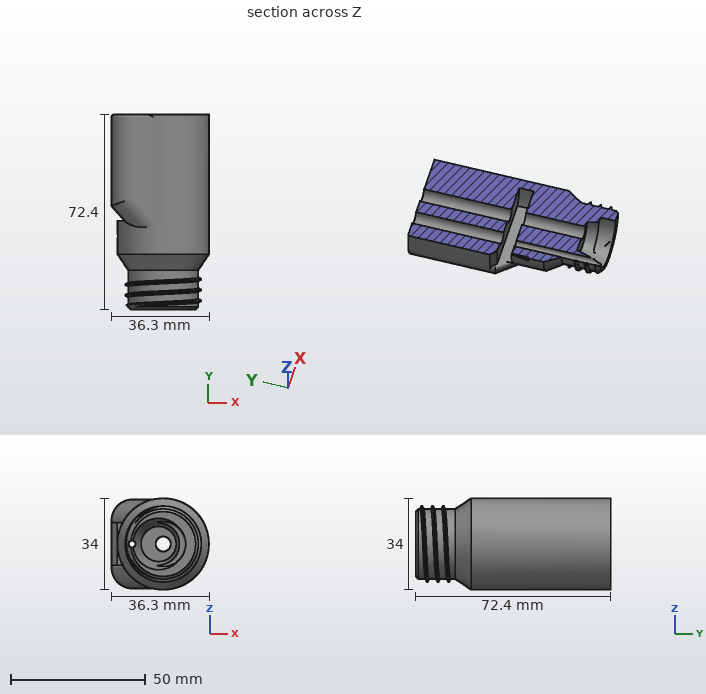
import cadquery as cq
import math

BACK_Y = 36.2
FRONT_Y = -36.2
BODY_RADIUS = 17.0
NECK_RADIUS = 13.0
NECK_LENGTH = 14.6
SHOULDER_LENGTH = 5.95
NECK_CHAMFER = 1.0
NECK_BACK_Y = FRONT_Y + NECK_LENGTH
SHOULDER_BACK_Y = NECK_BACK_Y + SHOULDER_LENGTH

LUG_X = -19.25
LUG_HALF_HEIGHT = 16.6
LUG_CORNER_RADIUS = 8.0
LUG_END_FILLET = 1.0
LUG_FRONT_Y = 2.25
LUG_SLOPE = math.radians(48.7)

SLOT_BACK_Y = LUG_FRONT_Y
SLOT_FRONT_Y = -3.2
SLOT_HALF_HEIGHT = 7.8
SLOT_END_RADIUS = 13.0
SLOT_LEAD_IN = 2.25
SLOT_EDGE_FILLET = 1.0

THREAD_PITCH = 4.0
THREAD_TURNS = 3.25
THREAD_CREST_RADIUS = 14.1
THREAD_BASE_WIDTH = 1.4
THREAD_CREST_WIDTH = 0.3
THREAD_START_Y = -23.45
THREAD_START_ANGLE = 225
THREAD_ROOT_OVERLAP = 0.2

SOCKET_X = -1.75
SOCKET_MOUTH_RADIUS = 9.55
SOCKET_FLOOR_RADIUS = 6.5
SOCKET_DEPTH = 10.0
SEAT_RADIUS = 8.3
SEAT_DEPTH = 5.8
SEAT_FLOOR_FILLET = 0.9
SEAT_LIP_RADIUS = 5.4
SEAT_LIP_FILLET = 1.0

CENTRE_HOLE_RADIUS = 2.75
SIDE_HOLE_RADIUS = 1.2
SIDE_HOLE_X = -11.6
BACK_HOLE_RADIUS = 2.5
BACK_HOLE_X = -10.65

ARROW_TIP_Y = -3.8
ARROW_BASE_Y = -9.8
ARROW_HALF_WIDTH = 1.45
ARROW_DEPTH = 0.5

MARGIN = 0.7


def turned(profile):
    """Solid of revolution about the Y axis from (radius, y) points."""
    return cq.Workplane("XY").polyline(profile).close().revolve(360, (0, 0), (0, 1))


def turned_body():
    """Cylinder, conical shoulder and neck."""
    return turned([
        (0, BACK_Y),
        (BODY_RADIUS, BACK_Y),
        (BODY_RADIUS, SHOULDER_BACK_Y),
        (NECK_RADIUS, NECK_BACK_Y),
        (NECK_RADIUS, FRONT_Y),
        (0, FRONT_Y),
    ])


def lug_block():
    """Sharp-edged lug: a slab whose front face slopes back into the body."""
    slope_end_y = LUG_FRONT_Y + LUG_X * math.tan(LUG_SLOPE)
    outline = [(0, BACK_Y), (LUG_X, BACK_Y), (LUG_X, LUG_FRONT_Y), (0, slope_end_y)]
    return cq.Workplane("XY").polyline(outline).close().extrude(LUG_HALF_HEIGHT, both=True)


def rounded_lug():
    """Lug with large rounds along its outer and sloping edges and a small round at the back."""
    top = LUG_HALF_HEIGHT + MARGIN
    long_edges = cq.selectors.BoxSelector(
        (LUG_X - MARGIN, LUG_FRONT_Y, -top), (-MARGIN, BACK_Y - MARGIN, top)
    )
    slope_edges = cq.selectors.BoxSelector(
        (LUG_X + MARGIN, FRONT_Y, -top), (-MARGIN, LUG_FRONT_Y, top)
    )
    rounded = lug_block().edges("#Z").edges(long_edges + slope_edges).fillet(LUG_CORNER_RADIUS)
    return rounded.faces(">Y").edges("not(>X)").fillet(LUG_END_FILLET)


def lug():
    """Rounded lug opened by a channel whose upper and lower rims are rounded."""
    lead_in_y = SLOT_BACK_Y + SLOT_LEAD_IN
    outline = [
        (LUG_X, lead_in_y),
        (LUG_X + SLOT_LEAD_IN, SLOT_BACK_Y),
        (0, SLOT_BACK_Y),
        (0, FRONT_Y),
        (LUG_X, FRONT_Y),
    ]
    channel = cq.Workplane("XY").polyline(outline).close().extrude(SLOT_HALF_HEIGHT, both=True)
    block = lug_block().cut(channel)
    side_face = cq.selectors.DirectionMinMaxSelector(cq.Vector(1, 0, 0), False)
    sloped_faces = cq.selectors.ParallelDirSelector(
        cq.Vector(math.sin(LUG_SLOPE), math.cos(LUG_SLOPE), 0)
    )
    rim_height = SLOT_HALF_HEIGHT + MARGIN
    rims = cq.selectors.BoxSelector(
        (LUG_X - MARGIN, FRONT_Y, -rim_height), (0, lead_in_y, rim_height)
    )
    outer_edges = block.faces(side_face + sloped_faces).edges("#Z")
    return outer_edges.edges(rims).fillet(SLOT_EDGE_FILLET).intersect(rounded_lug())


def slot():
    """Slot with a slanted lead-in at its back edge and an inner end rounded about the Y axis."""
    outer_x = LUG_X - SLOT_LEAD_IN
    outer_y = SLOT_BACK_Y + 2 * SLOT_LEAD_IN
    outline = [
        (outer_x, SLOT_FRONT_Y),
        (outer_x, outer_y),
        (LUG_X + SLOT_LEAD_IN, SLOT_BACK_Y),
        (SLOT_END_RADIUS, SLOT_BACK_Y),
        (SLOT_END_RADIUS, SLOT_FRONT_Y),
    ]
    straight = cq.Workplane("XY").polyline(outline).close().extrude(SLOT_HALF_HEIGHT, both=True)
    end_x = math.sqrt(SLOT_END_RADIUS**2 - SLOT_HALF_HEIGHT**2)
    round_ended = (
        cq.Workplane("XZ", origin=(0, SLOT_FRONT_Y, 0))
        .moveTo(outer_x, -SLOT_HALF_HEIGHT)
        .lineTo(end_x, -SLOT_HALF_HEIGHT)
        .threePointArc((SLOT_END_RADIUS, 0), (end_x, SLOT_HALF_HEIGHT))
        .lineTo(outer_x, SLOT_HALF_HEIGHT)
        .close()
        .extrude(SLOT_FRONT_Y - outer_y)
    )
    return straight.intersect(round_ended)


def thread():
    """Tapered helical ridge wound around the neck, sunk slightly into it."""
    root = NECK_RADIUS - THREAD_ROOT_OVERLAP
    thread_height = THREAD_CREST_RADIUS - NECK_RADIUS
    flank_slope = (THREAD_BASE_WIDTH - THREAD_CREST_WIDTH) / 2 / thread_height
    half_crest = THREAD_CREST_WIDTH / 2
    half_root = THREAD_BASE_WIDTH / 2 + THREAD_ROOT_OVERLAP * flank_slope
    section = [
        (root, -half_root),
        (THREAD_CREST_RADIUS, -half_crest),
        (THREAD_CREST_RADIUS, half_crest),
        (root, half_root),
    ]
    helix = cq.Wire.makeHelix(THREAD_PITCH, THREAD_PITCH * THREAD_TURNS, root)
    ridge = cq.Workplane("XZ").polyline(section).close().sweep(cq.Workplane(helix), isFrenet=True)
    return (
        ridge.rotate((0, 0, 0), (0, 0, 1), THREAD_START_ANGLE)
        .rotate((0, 0, 0), (1, 0, 0), 90)
        .translate((0, THREAD_START_Y, 0))
    )


def mouth_trim():
    """Ring outside the mouth chamfer, which also trims the end of the thread."""
    mouth_radius = NECK_RADIUS - NECK_CHAMFER
    outer = THREAD_CREST_RADIUS + MARGIN
    front = FRONT_Y - THREAD_PITCH
    return turned([
        (mouth_radius, FRONT_Y),
        (outer, FRONT_Y + outer - mouth_radius),
        (outer, front),
        (0, front),
        (0, FRONT_Y),
    ])


def socket():
    """Tapered socket that opens at the mouth."""
    floor_y = FRONT_Y + SOCKET_DEPTH
    cone = turned([
        (0, FRONT_Y),
        (SOCKET_MOUTH_RADIUS, FRONT_Y),
        (SOCKET_FLOOR_RADIUS, floor_y),
        (0, floor_y),
    ])
    return cone.translate((SOCKET_X, 0, 0))


def seat():
    """Round seat with a rounded floor corner and a rounded lip into the socket below it."""
    floor_y = FRONT_Y + SEAT_DEPTH
    lip_y = floor_y + SEAT_LIP_FILLET
    return (
        cq.Workplane("XY")
        .moveTo(0, FRONT_Y)
        .lineTo(SEAT_RADIUS, FRONT_Y)
        .lineTo(SEAT_RADIUS, floor_y - SEAT_FLOOR_FILLET)
        .radiusArc((SEAT_RADIUS - SEAT_FLOOR_FILLET, floor_y), -SEAT_FLOOR_FILLET)
        .lineTo(SEAT_LIP_RADIUS + SEAT_LIP_FILLET, floor_y)
        .radiusArc((SEAT_LIP_RADIUS, lip_y), SEAT_LIP_FILLET)
        .lineTo(0, lip_y)
        .close()
        .revolve(360, (0, 0), (0, 1))
    )


def hole(x, radius, start_y):
    """Round hole along Y from start_y out through the back face."""
    return cq.Workplane("XZ", origin=(x, start_y, 0)).circle(radius).extrude(start_y - BACK_Y)


def arrow():
    """Triangle sunk into the -X side of the body."""
    points = [
        (ARROW_TIP_Y, 0),
        (ARROW_BASE_Y, ARROW_HALF_WIDTH),
        (ARROW_BASE_Y, -ARROW_HALF_WIDTH),
    ]
    floor = cq.Workplane("YZ", origin=(ARROW_DEPTH - BODY_RADIUS, 0, 0))
    return floor.polyline(points).close().extrude(-2 * ARROW_DEPTH)


result = turned_body().union(lug()).union(thread())
for cutter in (
    mouth_trim(),
    slot(),
    socket(),
    seat(),
    hole(0, CENTRE_HOLE_RADIUS, FRONT_Y),
    hole(SIDE_HOLE_X, SIDE_HOLE_RADIUS, FRONT_Y),
    hole(BACK_HOLE_X, BACK_HOLE_RADIUS, SLOT_FRONT_Y),
    arrow(),
):
    result = result.cut(cutter)